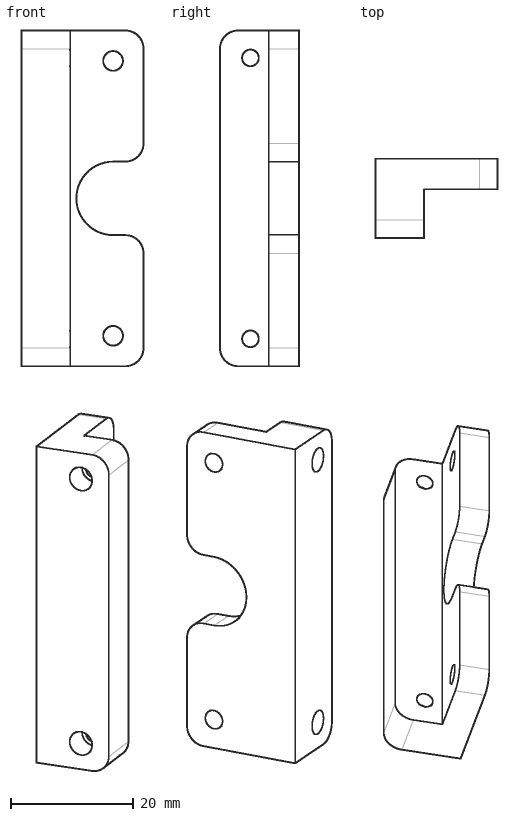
import cadquery as cq

LENGTH = 55.0
WIDTH = 20.0
DEPTH = 13.0

RAIL_WIDTH = 8.0
FLANGE_THICKNESS = 5.0
CORNER_RADIUS = 3.0

FLANGE_HOLE_DIAMETER = 3.2
FLANGE_HOLE_X = 15.0
FLANGE_HOLE_END_DISTANCE = 5.0

NOTCH_RADIUS = 6.0
NOTCH_CENTER_X = 15.0

RAIL_HOLE_DIAMETER = 2.7
COUNTERBORE_DIAMETER = 4.0
COUNTERBORE_DEPTH = 5.0
RAIL_HOLE_Y = 5.0
RAIL_HOLE_END_DISTANCE = 4.5


def make_rail():
    """Rail with its two front end corners rounded."""
    rail = cq.Workplane("XY").box(RAIL_WIDTH, DEPTH, LENGTH, centered=False)
    return rail.edges("|X and <Y").fillet(CORNER_RADIUS)


def make_flange():
    """Flange with a central notch and all free corners rounded."""
    flange = (
        cq.Workplane("XY")
        .box(WIDTH, FLANGE_THICKNESS, LENGTH, centered=False)
        .translate((0, DEPTH - FLANGE_THICKNESS, 0))
    )
    notch_round = (
        cq.Workplane("XZ", origin=(NOTCH_CENTER_X, 0, LENGTH / 2))
        .circle(NOTCH_RADIUS)
        .extrude(-DEPTH)
    )
    notch_mouth = (
        cq.Workplane("XY")
        .box(WIDTH - NOTCH_CENTER_X, DEPTH, 2 * NOTCH_RADIUS, centered=False)
        .translate((NOTCH_CENTER_X, 0, LENGTH / 2 - NOTCH_RADIUS))
    )
    flange = flange.cut(notch_round.union(notch_mouth))
    return flange.edges("|Y and >X").fillet(CORNER_RADIUS)


def cut_flange_holes(body):
    for z in (FLANGE_HOLE_END_DISTANCE, LENGTH - FLANGE_HOLE_END_DISTANCE):
        hole = (
            cq.Workplane("XZ", origin=(FLANGE_HOLE_X, 0, z))
            .circle(FLANGE_HOLE_DIAMETER / 2)
            .extrude(-DEPTH)
        )
        body = body.cut(hole)
    return body


def cut_rail_holes(body):
    """Through holes, counterbored from the outer side of the rail."""
    for z in (RAIL_HOLE_END_DISTANCE, LENGTH - RAIL_HOLE_END_DISTANCE):
        face = cq.Workplane("YZ", origin=(0, RAIL_HOLE_Y, z))
        bore = face.circle(RAIL_HOLE_DIAMETER / 2).extrude(RAIL_WIDTH)
        counterbore = face.circle(COUNTERBORE_DIAMETER / 2).extrude(COUNTERBORE_DEPTH)
        body = body.cut(bore).cut(counterbore)
    return body


body = make_rail().union(make_flange())
result = cut_rail_holes(cut_flange_holes(body))